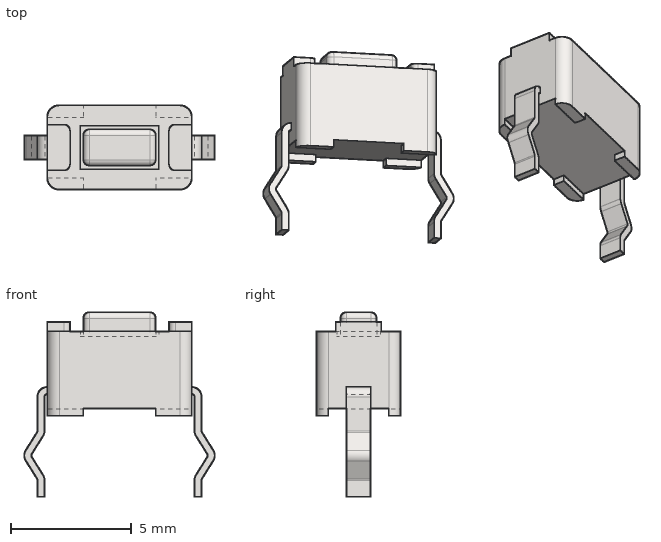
import cadquery as cq
import math

body_length = 6.0
body_width = 3.5
body_height = 3.5
body_corner_radius = 0.5
foot_height = 0.3
foot_gap_x = 3.0
foot_gap_y = body_width - 2 * body_corner_radius

tab_length = 0.95
tab_width = 1.9
tab_height = 0.4
tab_corner_radius = 0.25

button_length = 3.0
button_width = 1.5
button_rise = 0.8
button_radius = 0.25
recess_length = 3.25
recess_width = 1.8
recess_depth = 0.2

leg_thickness = 0.3
leg_width = 1.0
leg_outer_x = 3.4
leg_reach = 3.95
leg_top_z = 1.2
leg_bottom_z = -3.35
kink_z = -1.64
kink_angle = math.radians(32)
bend_inner_radius = 0.1
bend_outer_radius = bend_inner_radius + leg_thickness
leg_embed = 0.2


def make_housing():
    housing = (
        cq.Workplane("XY")
        .rect(body_length, body_width)
        .extrude(body_height)
        .edges("|Z")
        .fillet(body_corner_radius)
    )
    gap_along_y = cq.Workplane("XY").rect(foot_gap_x, body_width).extrude(foot_height)
    gap_along_x = cq.Workplane("XY").rect(body_length, foot_gap_y).extrude(foot_height)
    recess = (
        cq.Workplane("XY", origin=(0, 0, body_height))
        .rect(recess_length, recess_width)
        .extrude(-recess_depth)
    )
    return housing.cut(gap_along_y).cut(gap_along_x).cut(recess)


def make_button():
    return (
        cq.Workplane("XY", origin=(0, 0, body_height - recess_depth))
        .rect(button_length, button_width)
        .extrude(recess_depth + button_rise)
        .edges("|Z or >Z")
        .fillet(button_radius)
    )


def make_tab():
    """Tab at the +X end, rounded at its two inward corners."""
    center_x = (body_length - tab_length) / 2
    return (
        cq.Workplane("XY", origin=(center_x, 0, body_height))
        .rect(tab_length, tab_width)
        .extrude(tab_height)
        .edges("|Z and <X")
        .fillet(tab_corner_radius)
    )


def make_leg():
    """Leg at the +X end: out of the housing, down, and through an outward kink."""
    leg_inner_x = leg_outer_x - leg_thickness
    root_x = body_length / 2 - leg_embed

    tip_outer_x = leg_reach + bend_outer_radius * (1 / math.cos(kink_angle) - 1)
    tip_inner_x = tip_outer_x - leg_thickness / math.cos(kink_angle)
    outer_half_height = (tip_outer_x - leg_outer_x) / math.tan(kink_angle)
    inner_half_height = (tip_inner_x - leg_inner_x) / math.tan(kink_angle)

    top_outer = (leg_outer_x, leg_top_z)
    top_inner = (leg_inner_x, leg_top_z - leg_thickness)
    upper_outer = (leg_outer_x, kink_z + outer_half_height)
    upper_inner = (leg_inner_x, kink_z + inner_half_height)
    tip_outer = (tip_outer_x, kink_z)
    tip_inner = (tip_inner_x, kink_z)
    lower_outer = (leg_outer_x, kink_z - outer_half_height)
    lower_inner = (leg_inner_x, kink_z - inner_half_height)

    outline = [
        (root_x, leg_top_z),
        top_outer,
        upper_outer,
        tip_outer,
        lower_outer,
        (leg_outer_x, leg_bottom_z),
        (leg_inner_x, leg_bottom_z),
        lower_inner,
        tip_inner,
        upper_inner,
        top_inner,
        (root_x, leg_top_z - leg_thickness),
    ]
    leg = cq.Workplane("XZ").polyline(outline).close().extrude(leg_width / 2, both=True)

    hollow_corners = [top_inner, upper_outer, tip_inner, lower_outer]
    full_corners = [top_outer, upper_inner, tip_outer, lower_inner]
    leg = round_corners(leg, hollow_corners, bend_inner_radius)
    return round_corners(leg, full_corners, bend_outer_radius)


def round_corners(leg, corners, radius):
    """Fillet the edges across the strip that pass through the given (x, z) corners."""
    for x, z in corners:
        leg = leg.edges(cq.selectors.NearestToPointSelector((x, 0, z))).fillet(radius)
    return leg


result = make_housing().union(make_button())
for end_feature in (make_tab(), make_leg()):
    result = result.union(end_feature).union(end_feature.mirror("YZ"))